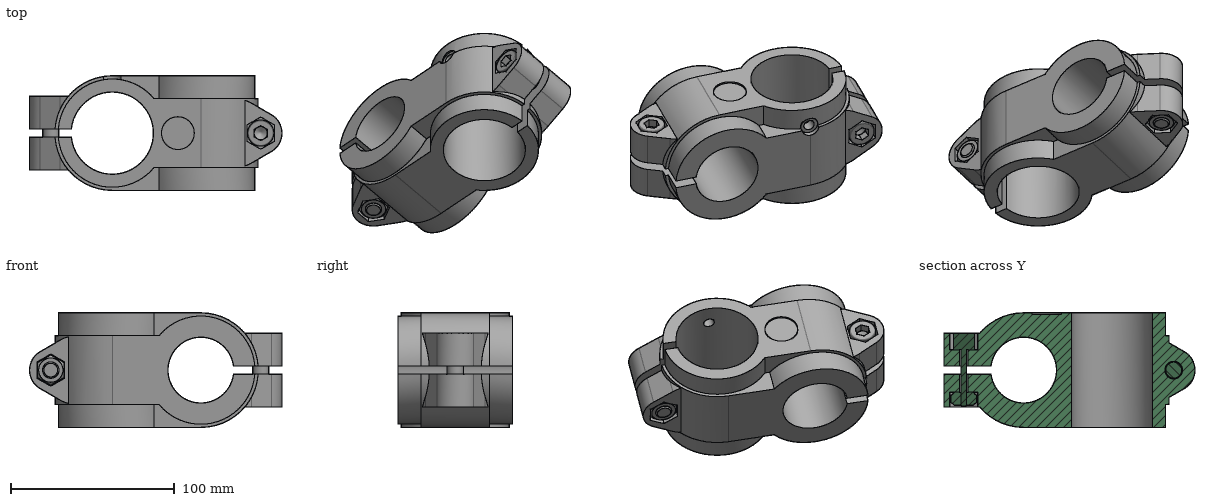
import cadquery as cq
import math

COLLAR_SPACING = 54.0
Z_COLLAR_X = -26.5
Y_COLLAR_X = Z_COLLAR_X + COLLAR_SPACING
COLLAR_RADIUS = 33.0
COLLAR_LENGTH = 70.0
BAND_RADIUS = COLLAR_LENGTH / 2
BAND_WIDTH = 42.0
Z_BORE_DIAMETER = 50.0
Y_BORE_DIAMETER = 40.0
SLOT_WIDTH = 5.0

Z_EAR_OFFSET = 37.5
Y_EAR_OFFSET = 36.5
EAR_WIDTH = 45.0
EAR_TIP_RADIUS = 13.0
EAR_ROOT_RADIUS = BAND_WIDTH / 2
EAR_CIRCLE_SPACING = 16.0

BOLT_DIAMETER = 10.0
BOLT_END_DIAMETER = 8.38
BOLT_END_PROJECTION = 1.0
HEAD_DIAMETER = 16.0
HEAD_HEIGHT = 10.0
HEAD_FILLET = 0.5
SOCKET_FLATS = 8.0
SOCKET_DEPTH = 5.0
SOCKET_TIP_DIAMETER = 7.98
SOCKET_TIP_ANGLE = 118.0

NUT_FLATS = 16.0
NUT_HEIGHT = 8.0
NUT_FACE_DIAMETER = 14.8
NUT_CHAMFER_ANGLE = 45.0

BOLT_HOLE_DIAMETER = 10.5
HEX_POCKET_FLATS = 17.0
HEAD_SEAT = EAR_WIDTH / 2 - HEAD_HEIGHT
NUT_SEAT = -EAR_WIDTH / 2 + NUT_HEIGHT + BOLT_END_PROJECTION

SIDE_HOLE_DIAMETER = 6.6
SIDE_HOLE_HEIGHT = 22.0
SIDE_COUNTERBORE_DIAMETER = 11.0
SIDE_COUNTERBORE_DEPTH = 3.0
RECESS_DIAMETER = 20.0
RECESS_DEPTH = 1.0
RECESS_X = 13.5

HEX_CORNER_RATIO = 2 / math.sqrt(3)
ORIGIN = (0, 0, 0)
X_AXIS = (1, 0, 0)
Z_AXIS = (0, 0, 1)


def cylinder(diameter, bottom, top):
    return cq.Workplane("XY").workplane(offset=bottom).circle(diameter / 2).extrude(top - bottom)


def hexagon(across_flats, bottom, top):
    """Hexagonal prism along Z with two corners on the Y axis."""
    plane = cq.Workplane("XY").workplane(offset=bottom).transformed(rotate=(0, 0, 90))
    return plane.polygon(6, across_flats * HEX_CORNER_RATIO).extrude(top - bottom)


def z_to_y(shape):
    """Quarter turn that takes the +Z end of a shape to +Y."""
    return shape.rotate(ORIGIN, X_AXIS, -90)


def place_bolt_part(shape, ear_offset):
    """Lay a part built along Z on the bolt axis of an ear on the -X side."""
    return z_to_y(shape).translate((-ear_offset, 0, 0))


def place_z_collar(shape):
    return shape.translate((Z_COLLAR_X, 0, 0))


def place_y_collar(shape):
    """Half turn about Z to face +X, then a quarter turn so that the bore lies along Y."""
    return z_to_y(shape.rotate(ORIGIN, Z_AXIS, 180)).translate((Y_COLLAR_X, 0, 0))


def make_ear(ear_offset):
    """Ear on the -X side: a large and a small circle joined by their outer tangents."""
    root_offset = ear_offset - EAR_CIRCLE_SPACING
    tangent_angle = math.asin((EAR_ROOT_RADIUS - EAR_TIP_RADIUS) / EAR_CIRCLE_SPACING)

    def point_on_circle(center_offset, radius, angle):
        return (-center_offset - radius * math.sin(angle), radius * math.cos(angle))

    root_top = point_on_circle(root_offset, EAR_ROOT_RADIUS, 0)
    root_middle = point_on_circle(root_offset, EAR_ROOT_RADIUS, tangent_angle / 2)
    root_tangent = point_on_circle(root_offset, EAR_ROOT_RADIUS, tangent_angle)
    tip_tangent = point_on_circle(ear_offset, EAR_TIP_RADIUS, tangent_angle)
    tip = point_on_circle(ear_offset, EAR_TIP_RADIUS, math.pi / 2)
    upper_half = (
        cq.Workplane("XZ")
        .moveTo(root_top[0], 0)
        .lineTo(*root_top)
        .threePointArc(root_middle, root_tangent)
        .lineTo(*tip_tangent)
        .threePointArc(point_on_circle(ear_offset, EAR_TIP_RADIUS, math.pi / 3), tip)
        .close()
        .extrude(EAR_WIDTH / 2, both=True)
    )
    return upper_half.union(upper_half.mirror("XY")).clean()


def make_arm(ear_offset):
    """Solid collar along Z with its ear; its wide band reaches to the other collar's axis."""
    collar = cylinder(2 * COLLAR_RADIUS, -COLLAR_LENGTH / 2, COLLAR_LENGTH / 2)
    band = cylinder(2 * BAND_RADIUS, -BAND_WIDTH / 2, BAND_WIDTH / 2)
    bridge = cq.Workplane("XY").box(
        COLLAR_SPACING, 2 * BAND_RADIUS, BAND_WIDTH, centered=(False, True, True)
    )
    return collar.union(band).union(bridge).union(make_ear(ear_offset))


def bolt_cutter(ear_offset):
    hole = cylinder(BOLT_HOLE_DIAMETER, -EAR_WIDTH / 2, EAR_WIDTH / 2)
    head_pocket = hexagon(HEX_POCKET_FLATS, HEAD_SEAT, EAR_WIDTH / 2)
    nut_pocket = hexagon(HEX_POCKET_FLATS, -EAR_WIDTH / 2, NUT_SEAT)
    return place_bolt_part(hole.union(head_pocket).union(nut_pocket), ear_offset)


def collar_cutter(bore_diameter, ear_offset):
    """Bore, slot through the ear, and bolt hole with its pockets."""
    bore = cylinder(bore_diameter, -COLLAR_LENGTH / 2, COLLAR_LENGTH / 2)
    bore = bore.rotate(ORIGIN, Z_AXIS, 180)
    slot_length = ear_offset + EAR_TIP_RADIUS
    slot = cq.Workplane("XY").box(slot_length, SLOT_WIDTH, COLLAR_LENGTH)
    return bore.union(slot.translate((-slot_length / 2, 0, 0))).union(bolt_cutter(ear_offset))


def side_hole_cutter():
    hole = cylinder(SIDE_HOLE_DIAMETER, 0, BAND_RADIUS)
    counterbore = cylinder(SIDE_COUNTERBORE_DIAMETER, BAND_RADIUS - SIDE_COUNTERBORE_DEPTH, BAND_RADIUS)
    return z_to_y(hole.union(counterbore)).translate((Z_COLLAR_X, 0, SIDE_HOLE_HEIGHT))


def recess_cutter():
    recess = cylinder(RECESS_DIAMETER, COLLAR_LENGTH / 2 - RECESS_DEPTH, COLLAR_LENGTH / 2)
    return recess.translate((RECESS_X, 0, 0))


def make_clamp_body():
    body = place_z_collar(make_arm(Z_EAR_OFFSET)).union(place_y_collar(make_arm(Y_EAR_OFFSET)))
    body = body.cut(place_z_collar(collar_cutter(Z_BORE_DIAMETER, Z_EAR_OFFSET)))
    body = body.cut(place_y_collar(collar_cutter(Y_BORE_DIAMETER, Y_EAR_OFFSET)))
    return body.cut(recess_cutter()).cut(side_hole_cutter())


def make_bolt(ear_offset):
    head_top = HEAD_SEAT + HEAD_HEIGHT
    head = cylinder(HEAD_DIAMETER, HEAD_SEAT, head_top).faces(">Z").edges().fillet(HEAD_FILLET)
    end = NUT_SEAT - NUT_HEIGHT - BOLT_END_PROJECTION
    end_chamfer = (BOLT_DIAMETER - BOLT_END_DIAMETER) / 2
    shank = cylinder(BOLT_DIAMETER, end, HEAD_SEAT).faces("<Z").chamfer(end_chamfer)
    socket_floor = head_top - SOCKET_DEPTH
    socket = hexagon(SOCKET_FLATS, socket_floor, head_top)
    tip_radius = SOCKET_TIP_DIAMETER / 2
    tip_depth = tip_radius / math.tan(math.radians(SOCKET_TIP_ANGLE / 2))
    tip = cq.Solid.makeCone(
        tip_radius, 0, tip_depth, cq.Vector(0, 0, socket_floor), cq.Vector(0, 0, -1)
    )
    return place_bolt_part(head.union(shank).cut(socket).cut(cq.Workplane(tip)), ear_offset)


def make_nut(ear_offset):
    bottom = NUT_SEAT - NUT_HEIGHT
    corner_diameter = NUT_FLATS * HEX_CORNER_RATIO
    chamfer_width = (corner_diameter - NUT_FACE_DIAMETER) / 2
    chamfer_height = chamfer_width * math.tan(math.radians(NUT_CHAMFER_ANGLE))
    envelope = cylinder(corner_diameter, bottom, NUT_SEAT)
    envelope = envelope.faces("<Z or >Z").chamfer(chamfer_height, chamfer_width)
    nut = hexagon(NUT_FLATS, bottom, NUT_SEAT).intersect(envelope)
    return place_bolt_part(nut.cut(cylinder(BOLT_DIAMETER, bottom, NUT_SEAT)), ear_offset)


clamp_body = make_clamp_body()

collars = [(place_z_collar, Z_EAR_OFFSET), (place_y_collar, Y_EAR_OFFSET)]
bolts = [place(make_bolt(ear_offset)) for place, ear_offset in collars]
nuts = [place(make_nut(ear_offset)) for place, ear_offset in collars]

result = cq.Compound.makeCompound([part.solids().val() for part in [clamp_body, *bolts, *nuts]])